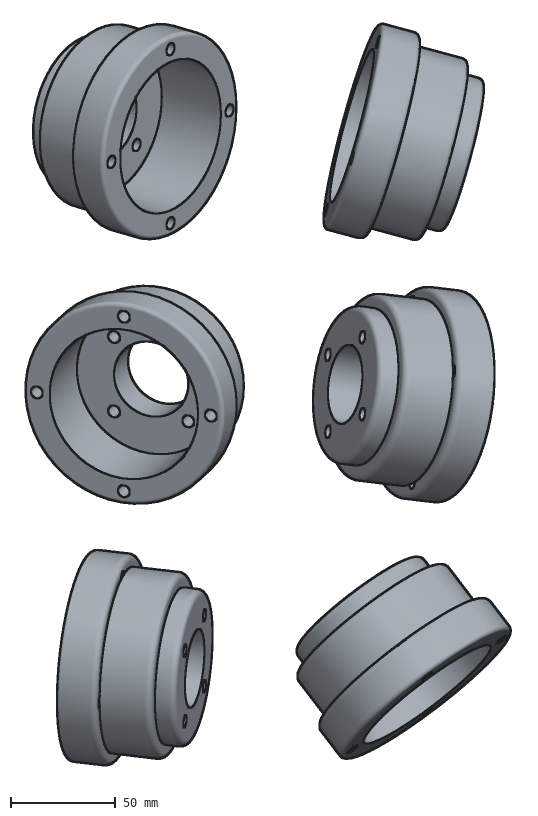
import cadquery as cq

flange_radius = 51.0
drum_radius = 45.0
nose_radius = 37.9
bore_radius = 19.0

nose_length = 10.0
drum_length = 25.5
flange_length = 20.0
drum_start = nose_length
flange_start = drum_start + drum_length
total_length = flange_start + flange_length

hub_length = 19.0
cavity_radius = nose_radius
cavity_depth = total_length - hub_length

front_fillet = 3.1
rear_fillet = 2.0

hole_diameter = 6.0
bolt_spacing = 2 * bore_radius

vent_count = 4
vent_circle_radius = 44.5


def disc(start, length, radius):
    """Plain disc along +X, centred on the X axis."""
    return cq.Workplane("YZ", origin=(start, 0, 0)).circle(radius).extrude(length)


def step(start, length, radius):
    """Disc with a rounded front rim."""
    return disc(start, length, radius).faces("<X").edges().fillet(front_fillet)


nose = step(0, nose_length, nose_radius)
drum = step(drum_start, drum_length, drum_radius)
flange = step(flange_start, flange_length, flange_radius)
flange = flange.faces(">X").edges().fillet(rear_fillet)
body = nose.union(drum).union(flange)

bore = disc(0, total_length, bore_radius)
cavity = disc(hub_length, cavity_depth, cavity_radius)

bolt_holes = (
    cq.Workplane("YZ")
    .rect(bolt_spacing, bolt_spacing, forConstruction=True)
    .vertices()
    .circle(hole_diameter / 2)
    .extrude(hub_length)
)

vent_holes = (
    cq.Workplane("YZ", origin=(flange_start, 0, 0))
    .polarArray(vent_circle_radius, 0, 360, vent_count)
    .circle(hole_diameter / 2)
    .extrude(flange_length)
)

result = body.cut(cavity).cut(bore).cut(bolt_holes).cut(vent_holes)